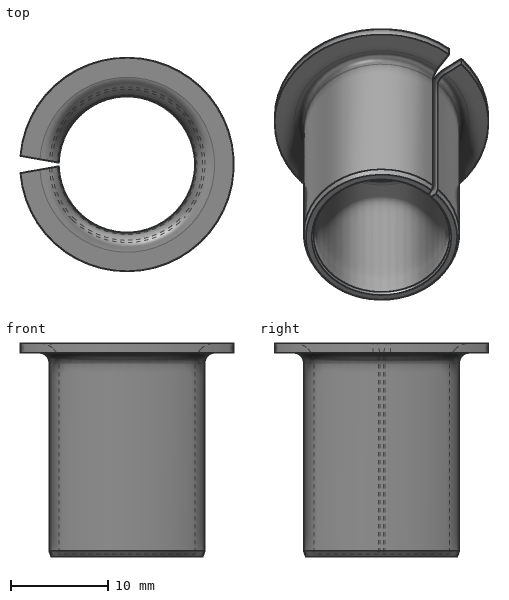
import cadquery as cq
import math

height = 22.0
flange_radius = 11.0
bore_radius = 7.0
wall = 1.01
outer_bend_radius = 1.0
inner_bend_radius = outer_bend_radius + wall
barrel_radius = bore_radius + wall

chamfer_height = 0.64
chamfer_width = chamfer_height * math.tan(math.radians(20))

bore_chamfer_height = 0.3
bore_chamfer_width = 0.18

split_half_angle = math.radians(10)
split_half_width_at_bore = 0.18
split_end_radius = 13.2


def bend_midpoint(radius):
    """Midpoint (r, z) of a quarter bend from the barrel to the flange."""
    center_r = bore_radius + inner_bend_radius
    center_z = height - inner_bend_radius
    offset = radius * math.sqrt(0.5)
    return center_r - offset, center_z + offset


def make_flanged_tube():
    """Revolve the bent sheet section around Z."""
    bend_r = bore_radius + inner_bend_radius
    bend_z = height - inner_bend_radius
    section = (
        cq.Workplane("XZ")
        .moveTo(bore_radius, bore_chamfer_height)
        .lineTo(bore_radius + bore_chamfer_width, 0)
        .lineTo(barrel_radius - chamfer_width, 0)
        .lineTo(barrel_radius, chamfer_height)
        .lineTo(barrel_radius, bend_z)
        .threePointArc(bend_midpoint(outer_bend_radius), (bend_r, height - wall))
        .lineTo(flange_radius, height - wall)
        .lineTo(flange_radius, height)
        .lineTo(bend_r, height)
        .threePointArc(bend_midpoint(inner_bend_radius), (bore_radius, bend_z))
        .close()
    )
    tube = section.revolve(360, (0, 0, 0), (0, 1, 0))
    return tube.rotate((0, 0, 0), (0, 0, 1), 180)


def make_split():
    """Wedge with its apex inside the bore, widening past the flange edge."""
    slope = math.tan(split_half_angle)
    apex_x = -bore_radius + split_half_width_at_bore / slope
    end_x = -split_end_radius
    end_half_width = (apex_x - end_x) * slope
    return (
        cq.Workplane("XY")
        .polyline([(apex_x, 0), (end_x, end_half_width), (end_x, -end_half_width)])
        .close()
        .extrude(height)
    )


result = make_flanged_tube().cut(make_split())